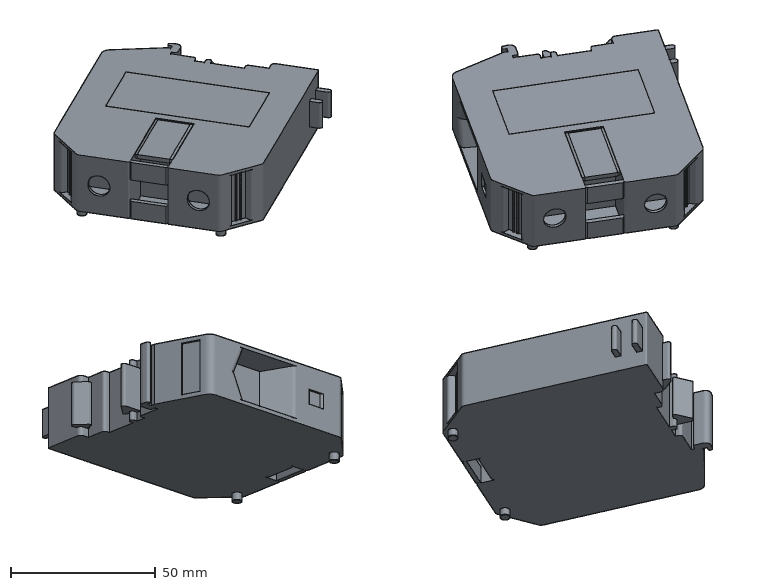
import cadquery as cq
import math

WIDTH = 75.8
DEPTH = 84.3
HEIGHT = 22.5
MID_Z = HEIGHT / 2
MID_X = WIDTH / 2

CORNER_CUT = 12.05
CORNER_RADIUS = 2.0
BACK_Y = 80.8
RAIL_SEAT_Y = 77.05
RAIL_FLOOR_Y = 74.7
SLOPE_START_Y = 73.0
SLOPE_END_X = 20.65
SHOULDER_RADIUS = 1.1

LATCH_INSET = 3.3
LATCH_ROOT = 0.85

CHANNEL_WIDTH = 13.7
CHANNEL_LENGTH = 32.4
CAVITY_LENGTH = 13.7
CHANNEL_LIP_RADIUS = 0.6
PANEL_FRONT_Y = 6.0
PANEL_THICKNESS = 1.6
PANEL_BEVEL_WIDTH = 1.0
PANEL_BEVEL_DROP = 0.3
PANEL_CORNER_CUT = 0.7
BAR_DEPTH = 1.7
BAR_HEIGHT = 7.0
BAR_CHAMFER = 0.6

BORE_DIAMETER = 8.0
FRONT_WALL = 1.3
CHAMBER_SIDE = 13.5
CHAMBER_LENGTH = 8.85
BORE_SPACING = 36.0

GRIP_LENGTH = 8.4
GRIP_MARGIN = 1.2
GRIP_DEPTH = 2.5
GRIP_LIP = 0.5
GRIP_WALL_RUN = 0.8
GRIP_RADIUS = 1.0
RIB_WIDTH = 0.6
RIB_HEIGHT = 0.4
RIB_SPACING = 1.8

POCKET_FRONT_Y = 33.7
POCKET_SHOULDER_Y = 57.75
POCKET_TIP_Y = 62.05
POCKET_HALF_HEIGHT = 9.8
POCKET_DEPTH = 8.7
POCKET_FRONT_RUN = 8.5
POCKET_TIP_RUN = 4.05
POCKET_SIDE_RUN = 1.9
POCKET_LIP_RADIUS = 2.0

WINDOW_Y = 23.5
WINDOW_LENGTH = 6.8
WINDOW_HEIGHT = 5.6
WINDOW_DEPTH = 0.85
WINDOW_WALL_RUN = 0.9

SLOT_START_X = 4.05
SLOT_END_X = 10.8
SLOT_MARGIN = 1.6
SLOT_DEPTH = 0.85

LABEL_WIDTH = 51.9
LABEL_LENGTH = 24.95
LABEL_CENTER_Y = 48.05
LABEL_DEPTH = 0.1

PIN_DIAMETER = 3.5
PIN_LENGTH = 2.95
PIN_CHAMFER = 0.2
PIN_Y = 3.6
PIN_SPACING = 50.25

TONGUE_THICKNESS = 2.1
TONGUE_BOTTOM_Z = 6.15
TONGUE_HEIGHT = 10.2
TONGUE_ROOT = 0.85
TONGUE_TIP_RADIUS = 1.0
TONGUES = [(78.0, 5.3), (70.05, 4.5)]


def block(x0, x1, y0, y1, z0, z1):
    """Box between opposite corners."""
    return cq.Workplane("XY").box(x1 - x0, y1 - y0, z1 - z0, centered=False).translate((x0, y0, z0))


def rounded_outline(corners, plane):
    """Closed outline through (x, y, radius) corners; a radius of 0 leaves the corner sharp."""
    sketch = None
    for i, (x, y, radius) in enumerate(corners):
        corner = cq.Vector(x, y)
        before = (cq.Vector(*corners[i - 1][:2]) - corner).normalized()
        after = (cq.Vector(*corners[(i + 1) % len(corners)][:2]) - corner).normalized()
        half_angle = before.getAngle(after) / 2
        setback = radius / math.tan(half_angle)
        start = corner + before * setback
        if sketch is None:
            sketch = plane.moveTo(start.x, start.y)
        else:
            sketch = sketch.lineTo(start.x, start.y)
        if radius:
            bisector = (before + after).normalized()
            middle = corner + bisector * (radius / math.sin(half_angle) - radius)
            end = corner + after * setback
            sketch = sketch.threePointArc((middle.x, middle.y), (end.x, end.y))
    return sketch.close()


def make_housing():
    corners = [
        (CORNER_CUT, 0, CORNER_RADIUS),
        (WIDTH - CORNER_CUT, 0, CORNER_RADIUS),
        (WIDTH, CORNER_CUT, CORNER_RADIUS),
        (WIDTH, BACK_Y, 0.6),
        (58.8, BACK_Y, 1.5),
        (58.8, RAIL_SEAT_Y, 0),
        (50.6, RAIL_SEAT_Y, SHOULDER_RADIUS),
        (50.6, RAIL_FLOOR_Y, 0),
        (38.35, RAIL_FLOOR_Y, 0),
        (38.35, RAIL_SEAT_Y, 1.0),
        (36.25, RAIL_SEAT_Y, 1.0),
        (36.25, RAIL_FLOOR_Y, 0),
        (32.5, RAIL_FLOOR_Y, 0),
        (32.5, RAIL_SEAT_Y, SHOULDER_RADIUS),
        (23.2, RAIL_SEAT_Y, 0),
        (23.2, 78.2, 0),
        (25.3, 78.2, 1.0),
        (25.3, DEPTH, 2.0),
        (22.6, DEPTH, 0),
        (20.5, 84.0, 0.7),
        (20.5, 82.45, 0.5),
        (22.2, 82.45, 0),
        (22.2, BACK_Y, 0),
        (SLOPE_END_X, BACK_Y, 0),
        (0, SLOPE_START_Y, 3.4),
        (0, CORNER_CUT, CORNER_RADIUS),
    ]
    return rounded_outline(corners, cq.Workplane("XY")).extrude(HEIGHT)


def make_latches():
    straight_latch = [
        (34.6, RAIL_FLOOR_Y - LATCH_ROOT, 0),
        (34.6, 82.4, 1.0),
        (36.1, 82.4, 0.5),
        (40.6, 77.4, 0.4),
        (40.1, 76.4, 0.3),
        (38.3, 76.2, 0),
        (37.5, RAIL_FLOOR_Y - LATCH_ROOT, 0),
    ]
    slanted_latch = [
        (60.95, RAIL_SEAT_Y, 0),
        (60.95, 83.45, 0.8),
        (59.35, 83.45, 1.0),
        (55.6, 79.6, 0.25),
        (55.6, 78.4, 0.25),
        (58.3, 77.6, 0),
        (58.3, RAIL_SEAT_Y, 0),
    ]
    latches = cq.Workplane("XY")
    for corners in (straight_latch, slanted_latch):
        plane = cq.Workplane("XY").workplane(offset=LATCH_INSET)
        latches = latches.add(rounded_outline(corners, plane).extrude(HEIGHT - 2 * LATCH_INSET))
    return latches.combine()


def open_channel(body):
    """Cut the front cavity through the thickness and the shallow seat of the panel on top."""
    x0 = MID_X - CHANNEL_WIDTH / 2
    x1 = MID_X + CHANNEL_WIDTH / 2
    body = body.cut(block(x0, x1, 0, CAVITY_LENGTH, 0, HEIGHT))
    for x in (x0, x1):
        lip = cq.selectors.NearestToPointSelector((x, 0, MID_Z))
        body = body.edges("|Z").edges(lip).fillet(CHANNEL_LIP_RADIUS)
    return body.cut(block(x0, x1, 0, CHANNEL_LENGTH, HEIGHT - PANEL_BEVEL_DROP, HEIGHT))


def make_panel():
    """Cover panel bevelled on its sides and rear, above a plain floor plate."""
    half = CHANNEL_WIDTH / 2
    plan = [
        (MID_X - half + PANEL_BEVEL_WIDTH, PANEL_FRONT_Y),
        (MID_X + half - PANEL_BEVEL_WIDTH, PANEL_FRONT_Y),
        (MID_X + half, PANEL_FRONT_Y + PANEL_CORNER_CUT),
        (MID_X + half, CHANNEL_LENGTH),
        (MID_X - half, CHANNEL_LENGTH),
        (MID_X - half, PANEL_FRONT_Y + PANEL_CORNER_CUT),
    ]
    plate = cq.Workplane("XY").polyline(plan).close().extrude(PANEL_THICKNESS)
    bevel_angle = math.degrees(math.atan2(PANEL_BEVEL_WIDTH, PANEL_BEVEL_DROP))
    bevelled_top = (
        cq.Workplane("XY", origin=(MID_X, CHANNEL_LENGTH / 2, PANEL_THICKNESS - PANEL_BEVEL_DROP))
        .rect(CHANNEL_WIDTH, CHANNEL_LENGTH)
        .extrude(PANEL_BEVEL_DROP, taper=bevel_angle)
    )
    base = block(0, WIDTH, 0, DEPTH, 0, PANEL_THICKNESS - PANEL_BEVEL_DROP)
    cover = plate.intersect(base.union(bevelled_top)).translate((0, 0, HEIGHT - PANEL_THICKNESS))
    return cover.union(plate)


def make_bars():
    """Cross bars at the top and bottom of the channel mouth, chamfered at both front ends."""
    x0 = MID_X - CHANNEL_WIDTH / 2
    x1 = MID_X + CHANNEL_WIDTH / 2
    bars = cq.Workplane("XY")
    for z in (0, HEIGHT - BAR_HEIGHT):
        bar = block(x0, x1, 0, BAR_DEPTH, z, z + BAR_HEIGHT)
        bars = bars.add(bar.faces("<Y").edges("|Z").chamfer(BAR_CHAMFER))
    return bars.combine()


def make_terminals():
    """Round front bores, each opening into a square chamber behind the front wall."""
    centers = [(-BORE_SPACING / 2, 0), (BORE_SPACING / 2, 0)]
    front = cq.Workplane("XZ", origin=(MID_X, 0, MID_Z))
    bores = front.pushPoints(centers).circle(BORE_DIAMETER / 2).extrude(-FRONT_WALL)
    chambers = (
        front.workplane(offset=-FRONT_WALL)
        .pushPoints(centers)
        .rect(CHAMBER_SIDE, CHAMBER_SIDE)
        .extrude(-CHAMBER_LENGTH)
    )
    return bores.union(chambers)


def make_grip():
    """Grip recess of the left front corner face, with ribs left standing on its floor."""
    plane = cq.Plane(
        origin=(CORNER_CUT / 2, CORNER_CUT / 2, GRIP_MARGIN), xDir=(1, -1, 0), normal=(0, 0, 1)
    )
    mouth = GRIP_LENGTH / 2 - GRIP_LIP
    floor = mouth - GRIP_WALL_RUN
    height = HEIGHT - 2 * GRIP_MARGIN
    lip = GRIP_LENGTH / 2 + GRIP_RADIUS
    corners = [
        (-lip, 0, 0),
        (-mouth, 0, GRIP_RADIUS),
        (-floor, GRIP_DEPTH, 0),
        (floor, GRIP_DEPTH, 0),
        (mouth, 0, GRIP_RADIUS),
        (lip, 0, 0),
        (0, -GRIP_DEPTH, 0),
    ]
    recess = rounded_outline(corners, cq.Workplane(plane)).extrude(height)
    ribs = (
        cq.Workplane(plane)
        .pushPoints([(side * RIB_SPACING / 2, GRIP_DEPTH - RIB_HEIGHT / 2) for side in (-1, 1)])
        .rect(RIB_WIDTH, RIB_HEIGHT)
        .extrude(height)
    )
    return recess.cut(ribs)


def wall_prism(wall_y, wall_z, outward, run, radius):
    """Space on the pocket's side of one sloping wall that passes through a point of the left side.

    The wall leans inward by `run` over the pocket's depth, and its lip is rounded by `radius`.
    """
    plane = cq.Plane(
        origin=(0, wall_y, wall_z), xDir=outward, normal=cq.Vector(*outward).cross(cq.Vector(1, 0, 0))
    )
    reach = DEPTH / 2
    flare = 2 * POCKET_LIP_RADIUS
    corners = [
        (flare, 0, 0),
        (0, 0, radius),
        (-run, POCKET_DEPTH, 0),
        (-reach, POCKET_DEPTH, 0),
        (-reach, -flare, 0),
        (flare, -flare, 0),
    ]
    return rounded_outline(corners, cq.Workplane(plane)).extrude(reach, both=True)


def make_pocket():
    """Pointed pocket with five sloping walls; the front wall and the point have rounded lips."""
    point_angle = math.atan2(POCKET_TIP_Y - POCKET_SHOULDER_Y, POCKET_HALF_HEIGHT)
    point_run = POCKET_TIP_RUN * math.cos(point_angle)
    pocket = wall_prism(POCKET_FRONT_Y, MID_Z, (0, -1, 0), POCKET_FRONT_RUN, POCKET_LIP_RADIUS)
    for side in (-1, 1):
        side_z = MID_Z + side * POCKET_HALF_HEIGHT
        point_outward = (0, math.cos(point_angle), side * math.sin(point_angle))
        pocket = pocket.intersect(wall_prism(POCKET_FRONT_Y, side_z, (0, 0, side), POCKET_SIDE_RUN, 0))
        pocket = pocket.intersect(
            wall_prism(POCKET_TIP_Y, MID_Z, point_outward, point_run, POCKET_LIP_RADIUS)
        )
    return pocket


def make_window():
    return (
        cq.Workplane("YZ", origin=(0, WINDOW_Y, MID_Z))
        .rect(WINDOW_LENGTH, WINDOW_HEIGHT)
        .workplane(offset=WINDOW_DEPTH)
        .rect(WINDOW_LENGTH - 2 * WINDOW_WALL_RUN, WINDOW_HEIGHT)
        .loft(ruled=True)
    )


def make_slot():
    """Shallow slot cut square to the sloped rear face."""
    slope = (BACK_Y - SLOPE_START_Y) / SLOPE_END_X
    x = (SLOT_START_X + SLOT_END_X) / 2
    length = (SLOT_END_X - SLOT_START_X) * math.hypot(1, slope)
    return (
        cq.Workplane("XY")
        .box(length, 2 * SLOT_DEPTH, HEIGHT - 2 * SLOT_MARGIN)
        .rotate((0, 0, 0), (0, 0, 1), math.degrees(math.atan(slope)))
        .translate((x, SLOPE_START_Y + slope * x, MID_Z))
    )


def make_label():
    return (
        cq.Workplane("XY", origin=(MID_X, LABEL_CENTER_Y, HEIGHT))
        .rect(LABEL_WIDTH, LABEL_LENGTH)
        .extrude(-LABEL_DEPTH)
    )


def make_pins():
    return (
        cq.Workplane("XY", origin=(MID_X, PIN_Y, 0))
        .pushPoints([(-PIN_SPACING / 2, 0), (PIN_SPACING / 2, 0)])
        .circle(PIN_DIAMETER / 2)
        .extrude(-PIN_LENGTH)
        .faces("<Z")
        .chamfer(PIN_CHAMFER)
    )


def make_tongues():
    tongues = cq.Workplane("XY")
    for y, projection in TONGUES:
        tongue = block(
            WIDTH - TONGUE_ROOT,
            WIDTH + projection,
            y - TONGUE_THICKNESS / 2,
            y + TONGUE_THICKNESS / 2,
            TONGUE_BOTTOM_Z,
            TONGUE_BOTTOM_Z + TONGUE_HEIGHT,
        )
        tongues = tongues.add(tongue.edges("|Z and >X").fillet(TONGUE_TIP_RADIUS))
    return tongues.combine()


grip = make_grip()

result = open_channel(make_housing())
result = result.cut(make_pocket())
result = result.cut(make_terminals())
result = result.cut(grip)
result = result.cut(grip.mirror("YZ", (MID_X, 0, 0)))
result = result.cut(make_window())
result = result.cut(make_slot())
result = result.cut(make_label())
result = result.union(make_panel())
result = result.union(make_bars())
result = result.union(make_latches())
result = result.union(make_tongues())
result = result.union(make_pins())